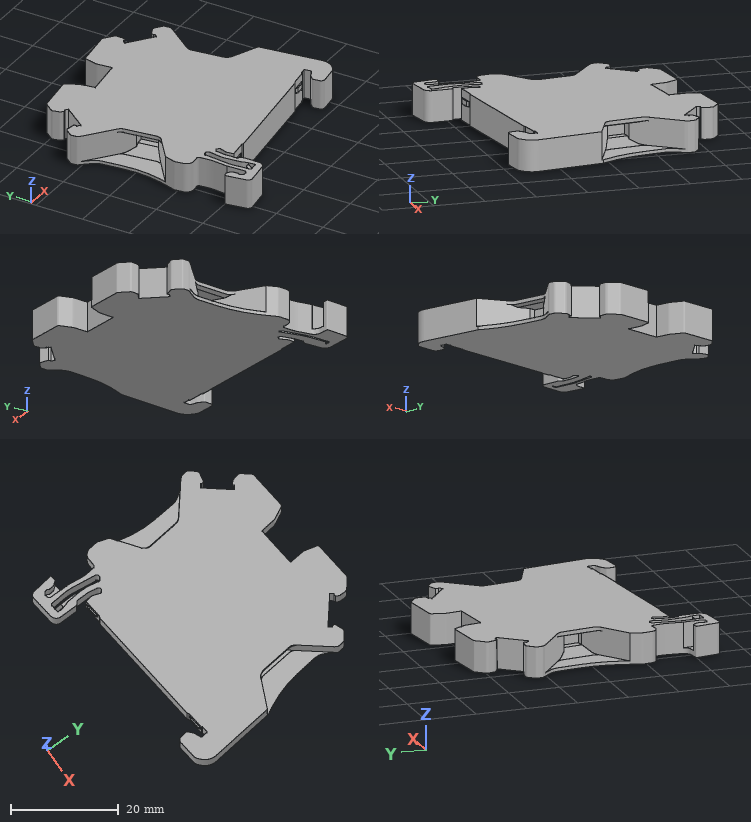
import cadquery as cq
import math


thickness = 6.15
lean_angle = 7.0
lean_center = (0.2, 0)

well_floor = 17.6
well_half_width = 3.95
top_edge = 23.6
shoulder_v = -3.9
shoulder_u = 21.75

slot_top = (13.4, 18.85)
slot_length = 5.8
slot_wall = 0.8
slot_draft = 0.25
slot_angle = -45.0

base_plate = 0.7
lid_thickness = 0.7
lid_u = 15.75
lid_corner_radius = 1.75
mouth_top = (21.95, 13.55)
mouth_bottom = (21.95, -4.35)
upper_corner_v = 7.3
lower_corner_v = -0.7
tunnel_low = 1.05
tunnel_high = 5.1
tunnel_floor = 2.0
tunnel_roof = 5.0
tunnel_end_u = 11.4
outside_margin = 2.5
ramp_start_u = 16.0
ramp_foot_length = 1.2
ramp_foot_height = 0.175
ramp_length = 1.95

rail_v = -15.8
land_v = -15.6
nub_height = 0.3
nub_low = 3.45
nub_width = 1.05
nub_taper = 0.5
nub_length = 2.95
left_nub_u = -15.6
right_nub_u = 12.95

lever_floor = 1.15
wedge_high = 5.9
wedge_drop = 1.5


def rounded_wire(plane, corners):
    """Closed outline through (u, v, radius) corners, each rounded by a tangent arc."""
    path = None
    count = len(corners)
    for i, (u, v, radius) in enumerate(corners):
        corner = cq.Vector(u, v)
        back = (cq.Vector(*corners[i - 1][:2]) - corner).normalized()
        ahead = (cq.Vector(*corners[(i + 1) % count][:2]) - corner).normalized()
        half_angle = back.getAngle(ahead) / 2
        setback = radius / math.tan(half_angle)
        start = corner + back * setback
        path = plane.moveTo(start.x, start.y) if path is None else path.lineTo(start.x, start.y)
        if radius:
            bisector = (back + ahead).normalized()
            middle = corner + bisector * (radius / math.sin(half_angle) - radius)
            end = corner + ahead * setback
            path = path.threePointArc((middle.x, middle.y), (end.x, end.y))
    return path.close()


def prism(corners, low, high):
    """Straight block of the rounded outline between two heights."""
    return rounded_wire(cq.Workplane("XY").workplane(offset=low), corners).extrude(high - low)


def both_sides(solid):
    """The solid joined with its mirror image across U = 0."""
    return solid.union(solid.mirror("YZ"))


def upper_housing():
    """Two pairs of knobs around the central well, down to the waisted flanks."""
    slot_step = slot_length * math.sqrt(0.5)
    wall_step = slot_wall * math.sqrt(0.5)
    u, v = slot_top
    half = prism(
        [
            (0, shoulder_v, 0),
            (0, well_floor, 0),
            (well_half_width, well_floor, 0),
            (4.0, 20.8, 1.5),
            (5.05, top_edge, 0.45),
            (13.0, top_edge, 0.5),
            (14.95, 21.7, 0.75),
            (14.75, 20.05, 0.5),
            (14.3, 19.45, 0),
            (u + wall_step, v + wall_step, 0),
            (u, v, 0),
            (u + slot_step, v - slot_step, 0),
            (u + slot_step + wall_step, v - slot_step + wall_step, 0),
            (18.15, 15.85, 0),
            (20.15, 16.45, 0.75),
            (21.75, 14.9, 0.5),
            (21.75, 13.55, 0.5),
            (19.65, 10.45, 3.5),
            (19.8, 1.0, 22.5),
            (shoulder_u, shoulder_v, 0),
        ],
        0,
        thickness,
    )
    return both_sides(half)


def lower_housing():
    """Rail face between the fixed hook on the right and the sprung lever on the left."""
    return prism(
        [
            (shoulder_u, shoulder_v, 0),
            (21.9, -18.75, 3.25),
            (19.6, -20.35, 1.5),
            (14.85, -20.4, 0.8),
            (14.8, -18.2, 0.5),
            (15.9, -17.35, 0.5),
            (17.45, -16.85, 0.3),
            (17.45, -15.4, 0),
            (16.1, -15.4, 0),
            (16.1, land_v, 0),
            (12.65, land_v, 0),
            (12.25, rail_v, 0),
            (-11.8, rail_v, 0),
            (-12.2, land_v, 0),
            (-16.0, land_v, 0),
            (-16.0, -14.05, 1),
            (-15.25, -12.5, 0.25),
            (-15.7, -11.9, 0.3),
            (-16.3, -12.05, 0.45),
            (-16.9, -14.05, 3),
            (-17.15, -16.75, 0),
            (-16.55, -17.3, 0.3),
            (-17.0, -22.3, 1.5),
            (-23.8, -22.4, 0.9),
            (-23.95, -17.15, 0.2),
            (-20.8, -17.05, 1.5),
            (-19.75, -12.55, 7.5),
            (-19.75, -9.95, 0.3),
            (-22.95, -9.8, 1.5),
            (-22.95, -6.55, 1),
            (-shoulder_u, shoulder_v, 0),
        ],
        0,
        thickness,
    )


def marker_slot_draft():
    """Slot body whose end walls spread towards the top face."""
    slot = (
        cq.Workplane("XZ")
        .polyline([
            (0, 0),
            (slot_length, 0),
            (slot_length + slot_draft, thickness),
            (-slot_draft, thickness),
        ])
        .close()
        .extrude(-slot_wall)
    )
    slot = slot.rotate((0, 0, 0), (0, 0, 1), slot_angle)
    return both_sides(slot.translate((*slot_top, 0)))


def wire_entry():
    """Opening in the top face, over a funnel that climbs a ramp into a short tunnel."""
    outside_u = shoulder_u + outside_margin
    upper_slope = (mouth_top[1] - upper_corner_v) / (mouth_top[0] - lid_u)
    lower_slope = (lower_corner_v - mouth_bottom[1]) / (mouth_bottom[0] - lid_u)
    upper_throat_u = lid_u - (upper_corner_v - tunnel_high) / upper_slope
    lower_throat_u = lid_u - (tunnel_low - lower_corner_v) / lower_slope
    mouth = [
        (*mouth_bottom, 0),
        (outside_u, mouth_bottom[1], 0),
        (outside_u, mouth_top[1], 0),
        (*mouth_top, 0),
    ]

    opening = prism(
        mouth + [
            (lid_u, upper_corner_v, lid_corner_radius),
            (lid_u, lower_corner_v, lid_corner_radius),
        ],
        base_plate,
        thickness,
    )
    funnel = prism(
        mouth + [
            (upper_throat_u, tunnel_high, 0),
            (tunnel_end_u, tunnel_high, 0),
            (tunnel_end_u, tunnel_low, 0),
            (lower_throat_u, tunnel_low, 0),
        ],
        base_plate,
        thickness - lid_thickness,
    )

    ramp_foot_u = ramp_start_u - ramp_foot_length
    ramp_foot_z = base_plate + ramp_foot_height
    ramp_top_u = ramp_foot_u - ramp_length
    lid_z = thickness - lid_thickness
    side_profile = (
        cq.Workplane("XZ")
        .moveTo(outside_u, base_plate)
        .lineTo(ramp_start_u, base_plate)
        .threePointArc(
            (ramp_start_u - ramp_foot_length / 2, base_plate + ramp_foot_height / 4),
            (ramp_foot_u, ramp_foot_z),
        )
        .lineTo(ramp_top_u, tunnel_floor)
        .lineTo(tunnel_end_u, tunnel_floor)
        .lineTo(tunnel_end_u, tunnel_roof)
        .lineTo(ramp_foot_u, tunnel_roof)
        .lineTo(ramp_start_u, lid_z)
        .lineTo(outside_u, lid_z)
        .close()
        .extrude(top_edge, both=True)
    )
    return both_sides(opening.union(funnel.intersect(side_profile)))


def rail_nub(start_u):
    """Small rib with slanted ends on a land of the rail face."""
    end_u = start_u + nub_length
    return (
        cq.Workplane("XY")
        .workplane(offset=nub_low)
        .polyline([
            (start_u, land_v),
            (start_u + nub_taper, land_v - nub_height),
            (end_u - nub_taper, land_v - nub_height),
            (end_u, land_v),
        ])
        .close()
        .extrude(nub_width)
    )


def lever_cuts():
    """Spring slot with its through slit, and the notch behind the release hook."""
    slot_bottom = -20.8
    slot_right = -17.95
    web_right = -18.9
    wedge_v = -19.4
    outer_side = [
        (-19.9, slot_bottom, 0.25),
        (-19.8, -16.6, 10),
        (-18.35, -10.55, 0.5),
    ]
    slot = prism(
        outer_side + [
            (-17.0, -10.65, 0.6),
            (-18.05, -14.05, 5),
            (-18.15, -18.2, 0.5),
            (slot_right, -18.9, 0),
            (slot_right, slot_bottom, 0),
        ],
        lever_floor,
        thickness,
    )
    slit = prism(
        outer_side + [
            (-17.7, -10.6, 0),
            (-19.2, -15.6, 10),
            (-19.55, -20.6, 0),
            (web_right, -20.6, 0),
            (web_right, slot_bottom, 0),
        ],
        0,
        thickness,
    )
    wedge = (
        cq.Workplane("YZ")
        .workplane(offset=web_right)
        .polyline([
            (slot_bottom, lever_floor),
            (slot_bottom, wedge_high - wedge_drop),
            (wedge_v, wedge_high),
            (wedge_v, lever_floor),
        ])
        .close()
        .extrude(slot_right - web_right)
    )
    notch = prism(
        [
            (-22.8, -17.05, 0),
            (-22.15, -18.1, 0.25),
            (-22.2, -19.2, 0.25),
            (-22.45, -19.4, 0.15),
            (-22.35, -20.4, 0.6),
            (-20.95, -20.35, 0.6),
            (-20.55, -16.15, 0),
        ],
        lever_floor,
        thickness,
    )
    return slot.cut(wedge).union(slit).union(notch)


housing = upper_housing().union(lower_housing())
housing = housing.cut(marker_slot_draft()).cut(wire_entry()).cut(lever_cuts())
housing = housing.union(rail_nub(left_nub_u)).union(rail_nub(right_nub_u))

result = (
    housing.clean()
    .translate((-lean_center[0], -lean_center[1], 0))
    .rotate((0, 0, 0), (0, 0, 1), lean_angle)
)